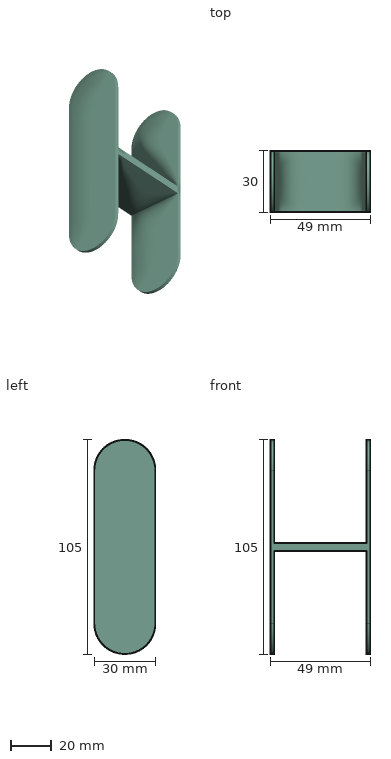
import cadquery as cq

height = 105.0
width = 49.0
depth = 30.0

plate_thickness = 2.0
web_thickness = 4.0


def side_plate(x_center):
    """Upright plate with fully rounded top and bottom ends."""
    return (
        cq.Workplane("YZ")
        .slot2D(height, depth, angle=90)
        .extrude(plate_thickness / 2, both=True)
        .translate((x_center, 0, 0))
    )


web_length = width - 2 * plate_thickness
result = cq.Workplane("XY").box(web_length, depth, web_thickness)

plate_offset = (width - plate_thickness) / 2
for side in (-1, 1):
    result = result.union(side_plate(side * plate_offset))